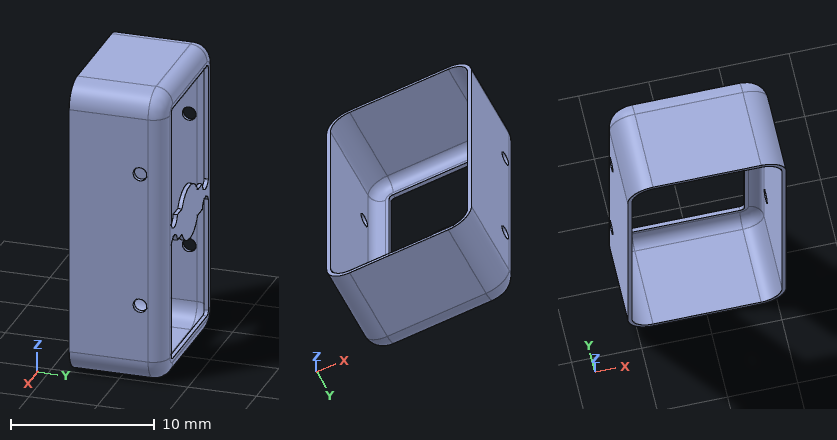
import cadquery as cq

width = 11.3
depth = 7.0
height = 22.0
wall = 0.3
corner_radius = 1.8
back_edge_radius = 1.2

frame_border = 1.5
window_width = width - 2 * frame_border
window_height = height - 2 * frame_border
window_corner_radius = corner_radius - frame_border

disc_radius = 2.0
bar_height = 1.94
notch_radius = 0.7
notch_offset_x = 3.5
notch_offset_z = 1.01

side_hole_diameter = 1.0
side_hole_spacing = 9.99
side_hole_from_back = 1.8

back_y = depth / 2
back_wall_y = back_y - wall


def upright_plane(y):
    """XZ plane at the given Y, with extrusion running toward +Y."""
    return cq.Workplane("XZ", origin=(0, y, 0))


def rounded_block(size_x, size_z, front_y, rear_y, radius):
    """Block with its four Y-direction edges rounded."""
    length = rear_y - front_y
    return upright_plane(front_y).rect(size_x, size_z).extrude(-length).edges("|Y").fillet(radius)


def make_shell():
    outer = rounded_block(width, height, -back_y, back_y, corner_radius)
    outer = outer.faces(">Y").edges().fillet(back_edge_radius)
    cavity = rounded_block(
        width - 2 * wall, height - 2 * wall, -back_y, back_wall_y, corner_radius - wall
    )
    cavity = cavity.faces(">Y").edges().fillet(back_edge_radius - wall)
    return outer.cut(cavity)


def make_window():
    return rounded_block(window_width, window_height, back_wall_y, back_y, window_corner_radius)


def make_bridge():
    """Flat bar with a central disc and a round notch pair near each end."""
    bar = upright_plane(back_wall_y).rect(window_width, bar_height).extrude(-wall)
    disc = upright_plane(back_wall_y).circle(disc_radius).extrude(-wall)
    notches = (
        upright_plane(back_wall_y)
        .rect(2 * notch_offset_x, 2 * notch_offset_z, forConstruction=True)
        .vertices()
        .circle(notch_radius)
        .extrude(-wall)
    )
    return bar.union(disc).cut(notches)


def make_side_holes():
    hole_y = back_y - side_hole_from_back
    return (
        cq.Workplane("YZ", origin=(0, hole_y, 0))
        .pushPoints([(0, side * side_hole_spacing / 2) for side in (-1, 1)])
        .circle(side_hole_diameter / 2)
        .extrude(width, both=True)
    )


window_openings = make_window().cut(make_bridge())
result = make_shell().cut(window_openings).cut(make_side_holes())